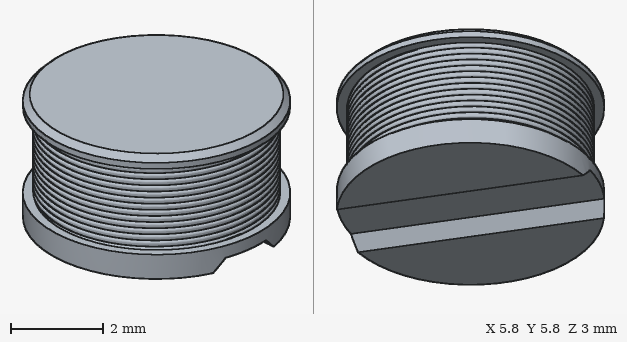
import cadquery as cq
import math

flange_radius = 5.8 / 2
base_height = 0.6
top_flange_height = 0.3
top_chamfer = 0.15
body_height = 3.0
top_flange_bottom = body_height - top_flange_height

winding_radius = 2.685
turn_count = 14
wire_pitch = (top_flange_bottom - base_height) / turn_count
wire_radius = wire_pitch / 2
groove_depth = 0.05
groove_clearance = 0.15
crest_flat = 0.04
overrun_turns = 1

channel_depth = 0.3
channel_mouth_width = 1.8
channel_roof_width = 1.2


def disc(radius, bottom, height):
    """Cylinder on the Z axis, starting at the given height."""
    return cq.Workplane("XY").workplane(offset=bottom).circle(radius).extrude(height)


def make_base():
    """Lower flange with the channel cut through it."""
    channel = (
        cq.Workplane("YZ")
        .moveTo(-channel_mouth_width / 2, 0)
        .lineTo(-channel_roof_width / 2, channel_depth)
        .lineTo(channel_roof_width / 2, channel_depth)
        .lineTo(channel_mouth_width / 2, 0)
        .close()
        .extrude(flange_radius, both=True)
    )
    return disc(flange_radius, 0, base_height).cut(channel)


def make_top_flange():
    """Upper flange with a chamfered upper rim."""
    flange = disc(flange_radius, top_flange_bottom, top_flange_height)
    return flange.faces(">Z").edges().chamfer(top_chamfer)


def make_groove(start_height, helix_height):
    """Right-handed helical cutter whose wire-shaped flanks meet in a cusp at the groove root."""
    half_width = (wire_pitch - crest_flat) / 2
    root_radius = winding_radius - groove_depth
    outer_radius = winding_radius + groove_clearance
    chord = math.hypot(half_width, groove_depth)
    sagitta = wire_radius - math.sqrt(wire_radius**2 - (chord / 2) ** 2)
    mid_radius = winding_radius - groove_depth / 2 + sagitta * half_width / chord
    mid_width = half_width / 2 - sagitta * groove_depth / chord
    section = (
        cq.Workplane("XZ", origin=(0, 0, start_height))
        .moveTo(root_radius, 0)
        .threePointArc((mid_radius, mid_width), (winding_radius, half_width))
        .lineTo(outer_radius, half_width)
        .lineTo(outer_radius, -half_width)
        .lineTo(winding_radius, -half_width)
        .threePointArc((mid_radius, -mid_width), (root_radius, 0))
        .close()
    )
    path = cq.Wire.makeHelix(wire_pitch, helix_height, root_radius, center=cq.Vector(0, 0, start_height))
    return section.sweep(cq.Workplane(path), isFrenet=True)


def make_winding():
    """Wound middle of the part: a cylinder grooved to look like the turns of wire."""
    winding = disc(winding_radius, base_height, top_flange_bottom - base_height)
    groove_start = base_height - (overrun_turns + 0.5) * wire_pitch
    groove_height = (turn_count + 2 * overrun_turns + 1) * wire_pitch
    return winding.cut(make_groove(groove_start, groove_height), clean=False)


result = make_winding().union(make_base(), clean=False).union(make_top_flange(), clean=False)